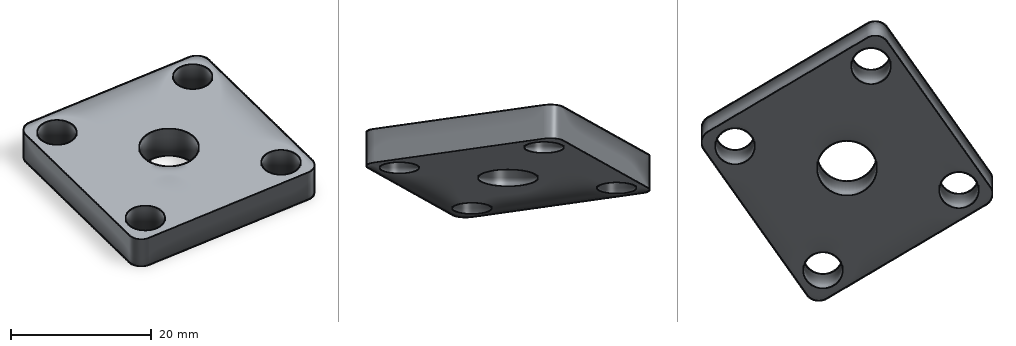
import cadquery as cq

side = 31.0
thickness = 5.0
corner_radius = 2.0

center_hole_diameter = 8.5
corner_hole_diameter = 5.6
corner_hole_spacing = 23.0

plate = cq.Workplane("XY").box(side, side, thickness).edges("|Z").fillet(corner_radius)

bored_plate = plate.faces(">Z").workplane().hole(center_hole_diameter)

result = (
    bored_plate.faces(">Z")
    .workplane()
    .rect(corner_hole_spacing, corner_hole_spacing, forConstruction=True)
    .vertices()
    .hole(corner_hole_diameter)
)